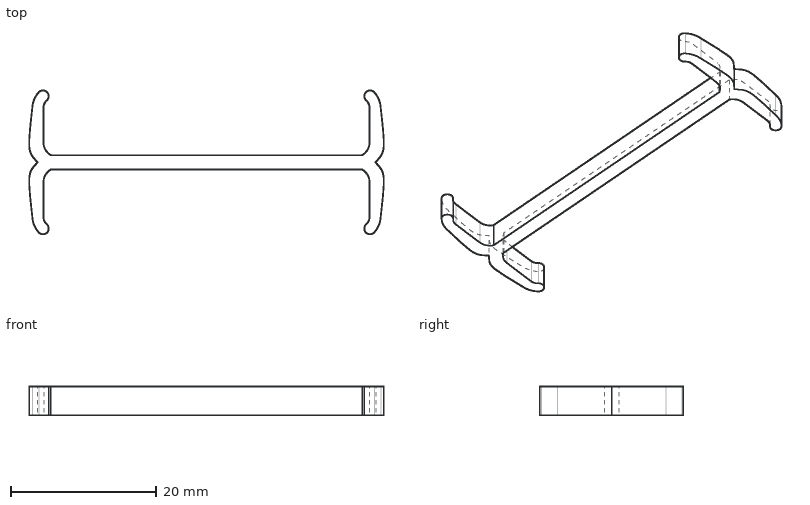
import cadquery as cq
import math


overall_length = 48.8
overall_width = 19.8
thickness = 4.0
web_width = 2.0
arm_root_width = 2.0

notch_depth = 1.15
flank_corner_offset = 0.229
flank_corner_y = 1.5
flank_top_y = 7.46

bend_radius = 2.0
bend_sweep = math.radians(60)
hook_outer_radius = 3.43
hook_inner_radius = 1.25
hook_center_inset = 3.85
hook_outer_y = 7.32
tip_radius = 0.8

half_length = overall_length / 2
notch_x = half_length - notch_depth
flank_corner_x = half_length + flank_corner_offset
hook_outer_x = half_length - hook_center_inset
arm_inner_x = half_length - arm_root_width

half_web = web_width / 2
bend_x = arm_inner_x - bend_radius
bend_y = half_web + bend_radius * math.sin(bend_sweep)

tip_y = overall_width / 2 - tip_radius
tip_angle = math.asin((tip_y - hook_outer_y) / (hook_outer_radius - tip_radius))
tip_x = hook_outer_x + (hook_outer_radius - tip_radius) * math.cos(tip_angle)

hook_inner_x = arm_inner_x - hook_inner_radius
hook_inner_sweep = math.acos((tip_x - hook_inner_x) / (hook_inner_radius + tip_radius))
hook_inner_y = tip_y - (hook_inner_radius + tip_radius) * math.sin(hook_inner_sweep)


def polar(center_x, center_y, radius, angle):
    """Point on a circle, with the angle in radians from +X."""
    return (center_x + radius * math.cos(angle), center_y + radius * math.sin(angle))


def on_bend(angle):
    return polar(bend_x, bend_y, bend_radius, angle)


def on_outer_hook(angle):
    return polar(hook_outer_x, hook_outer_y, hook_outer_radius, angle)


def on_inner_hook(angle):
    return polar(hook_inner_x, hook_inner_y, hook_inner_radius, angle)


def quarter_profile():
    """Quarter of the clip in +X +Y: out along the notch, round the hook and back to the web."""
    notch = (notch_x, 0)
    flank_corner = (flank_corner_x, flank_corner_y)
    hook_start_angle = math.asin((flank_top_y - hook_outer_y) / hook_outer_radius)
    flank_top = on_outer_hook(hook_start_angle)
    hook_mid_angle = (hook_start_angle + tip_angle) / 2
    tip_far_angle = (tip_angle + hook_inner_sweep - math.pi) / 2 + math.pi
    return (
        cq.Workplane("XY")
        .lineTo(*notch)
        .bezier([notch, flank_corner, flank_corner, flank_top])
        .threePointArc(on_outer_hook(hook_mid_angle), on_outer_hook(tip_angle))
        .threePointArc(
            polar(tip_x, tip_y, tip_radius, tip_far_angle),
            on_inner_hook(hook_inner_sweep),
        )
        .threePointArc(on_inner_hook(hook_inner_sweep / 2), on_inner_hook(0))
        .lineTo(*on_bend(0))
        .threePointArc(on_bend(-bend_sweep / 2), on_bend(-bend_sweep))
        .lineTo(0, half_web)
        .close()
    )


quarter = quarter_profile().extrude(thickness)
end_half = quarter.union(quarter.mirror("XZ"))
result = end_half.union(end_half.mirror("YZ")).clean()